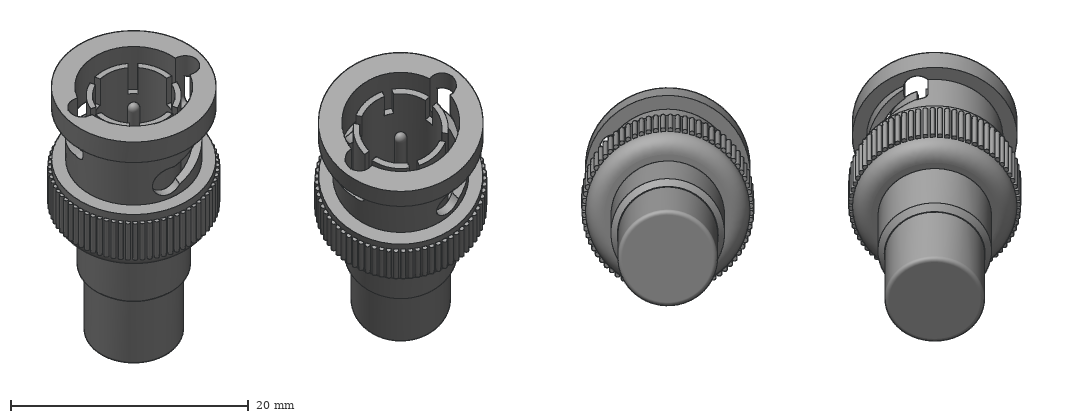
import cadquery as cq
import math

TOTAL_HEIGHT = 27.95
FLANGE_HEIGHT = 2.35
FLANGE_BOTTOM = TOTAL_HEIGHT - FLANGE_HEIGHT
CAP_TOP = 19.65
KNURL_TOP = 18.85
KNURL_BOTTOM = 14.72
CAP_BOTTOM = 13.15
COLLAR_BOTTOM = 7.26

FLANGE_RADIUS = 6.93
BARREL_RADIUS = 5.73
CAP_RADIUS = 6.9
COLLAR_RADIUS = 4.78
TAIL_RADIUS = 4.2
CAP_ROUNDING = KNURL_BOTTOM - CAP_BOTTOM
COLLAR_CHAMFER = 0.53
TAIL_ROUNDING = 0.35

KNURL_TIP_RADIUS = 7.25
RIB_RADIUS = 0.22
RIB_COUNT = 72

BORE_RADIUS = 4.95
BORE_FLOOR = KNURL_BOTTOM
SLEEVE_OUTER_RADIUS = 4.0
SLEEVE_INNER_RADIUS = 3.46
SLEEVE_TOP = 26.9
SLEEVE_SLOT_WIDTH = 0.8
SLEEVE_SLOT_BOTTOM = 23.92
SLEEVE_SLOT_COUNT = 6
PIN_RADIUS = 0.53
PIN_SHOULDER = 25.43

TRACK_COUNT = 2
KEYWAY_RADIUS = 1.2
KEYWAY_CENTER = 5.05
KEYWAY_BOTTOM = 22.77
KEYWAY_ROUNDING = 0.55
LOCK_HOLE_RADIUS = 1.48
LOCK_HOLE_HEIGHT = 21.6
RAMP_WIDTH = 2.51
RAMP_SPAN = 90.0
RAMP_RISE = KEYWAY_BOTTOM + RAMP_WIDTH / 2 - LOCK_HOLE_HEIGHT
CUT_START = BORE_RADIUS - 0.55
CUT_REACH = FLANGE_RADIUS + 1.4


def disc(radius, bottom, top):
    """Solid cylinder about the Z axis between two heights."""
    return cq.Workplane("XY").workplane(offset=bottom).circle(radius).extrude(top - bottom)


def turned(feature, angle):
    """Copy of a feature turned about the Z axis, in degrees."""
    return feature.rotate((0, 0, 0), (0, 0, 1), angle)


def make_outside():
    tail = disc(TAIL_RADIUS, 0, COLLAR_BOTTOM).faces("<Z").edges().fillet(TAIL_ROUNDING)
    collar = disc(COLLAR_RADIUS, COLLAR_BOTTOM, CAP_BOTTOM).faces("<Z").edges().chamfer(COLLAR_CHAMFER)
    cap = disc(CAP_RADIUS, CAP_BOTTOM, CAP_TOP).faces("<Z").edges().fillet(CAP_ROUNDING)
    barrel = disc(BARREL_RADIUS, CAP_TOP, FLANGE_BOTTOM)
    flange = disc(FLANGE_RADIUS, FLANGE_BOTTOM, TOTAL_HEIGHT)
    return tail.union(collar).union(cap).union(barrel).union(flange)


def make_knurl():
    """Ring of half-round ribs, with tips on the largest radius of the part."""
    return (
        cq.Workplane("XY")
        .workplane(offset=KNURL_BOTTOM)
        .polarArray(KNURL_TIP_RADIUS - RIB_RADIUS, 0, 360, RIB_COUNT)
        .circle(RIB_RADIUS)
        .extrude(KNURL_TOP - KNURL_BOTTOM)
    )


def make_ramp_cutter():
    """Helical strip that falls from the keyway at -Y to the locking hole at -X.

    A twisted sector has a constant width along Z; the quadrant trims its ends.
    """
    degrees_per_unit = RAMP_SPAN / RAMP_RISE
    half_sector = math.radians(RAMP_WIDTH * degrees_per_unit / 2)
    height = TOTAL_HEIGHT - CAP_TOP
    start_angle = 180 - (LOCK_HOLE_HEIGHT - CAP_TOP) * degrees_per_unit
    inner_x = CUT_START * math.cos(half_sector)
    inner_y = CUT_START * math.sin(half_sector)
    outer_x = CUT_REACH * math.cos(half_sector)
    outer_y = CUT_REACH * math.sin(half_sector)
    strip = (
        cq.Workplane("XY")
        .moveTo(inner_x, -inner_y)
        .lineTo(outer_x, -outer_y)
        .threePointArc((CUT_REACH, 0), (outer_x, outer_y))
        .lineTo(inner_x, inner_y)
        .threePointArc((CUT_START, 0), (inner_x, -inner_y))
        .close()
        .twistExtrude(height, height * degrees_per_unit)
        .translate((0, 0, CAP_TOP))
    )
    quadrant = cq.Workplane("XY").box(CUT_REACH, CUT_REACH, TOTAL_HEIGHT, centered=False)
    strip = turned(strip, start_angle)
    return strip.intersect(quadrant.translate((-CUT_REACH, -CUT_REACH, 0)))


def make_track_cutter():
    keyway = (
        disc(KEYWAY_RADIUS, KEYWAY_BOTTOM, TOTAL_HEIGHT)
        .faces("<Z").edges().fillet(KEYWAY_ROUNDING)
        .translate((0, -KEYWAY_CENTER, 0))
    )
    lock_hole = (
        cq.Workplane("YZ")
        .center(0, LOCK_HOLE_HEIGHT)
        .circle(LOCK_HOLE_RADIUS)
        .extrude(-CUT_REACH)
    )
    return keyway.union(make_ramp_cutter()).union(lock_hole)


def make_sleeve():
    sleeve = disc(SLEEVE_OUTER_RADIUS, BORE_FLOOR, SLEEVE_TOP)
    sleeve = sleeve.cut(disc(SLEEVE_INNER_RADIUS, BORE_FLOOR, SLEEVE_TOP))
    slot = (
        cq.Workplane("XY")
        .workplane(offset=SLEEVE_SLOT_BOTTOM)
        .center(0, BORE_RADIUS / 2)
        .rect(SLEEVE_SLOT_WIDTH, BORE_RADIUS)
        .extrude(SLEEVE_TOP - SLEEVE_SLOT_BOTTOM)
    )
    for i in range(SLEEVE_SLOT_COUNT):
        sleeve = sleeve.cut(turned(slot, i * 360 / SLEEVE_SLOT_COUNT))
    return sleeve


def make_pin():
    ball = cq.Workplane("XY").sphere(PIN_RADIUS).translate((0, 0, PIN_SHOULDER))
    return disc(PIN_RADIUS, BORE_FLOOR, PIN_SHOULDER).union(ball)


body = make_outside().union(make_knurl())
body = body.cut(disc(BORE_RADIUS, BORE_FLOOR, TOTAL_HEIGHT))
track = make_track_cutter()
for i in range(TRACK_COUNT):
    body = body.cut(turned(track, i * 360 / TRACK_COUNT))
result = body.union(make_sleeve()).union(make_pin())